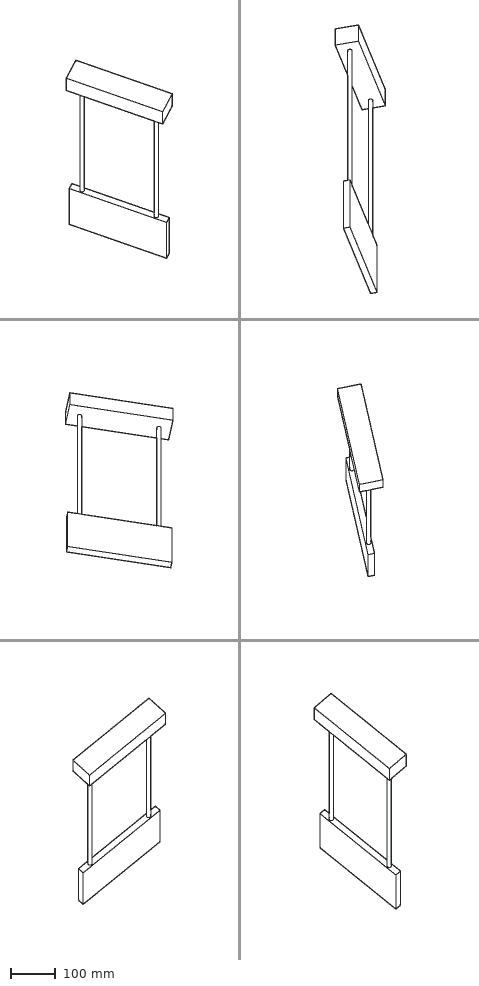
import cadquery as cq

total_height = 583.5

block_width = 234.5
block_depth = 54.0
block_height = 47.0

panel_width = 237.0
panel_thickness = 15.0
panel_height = 137.0

rod_diameter = 10.0
rod_spacing = 180.5

block_bottom = total_height - block_height
rod_length = block_bottom - panel_height


def upright_box(width, depth, height, bottom):
    """Box centred on the Z axis, standing on the given level."""
    return (
        cq.Workplane("XY", origin=(0, 0, bottom))
        .box(width, depth, height, centered=(True, True, False))
    )


panel = upright_box(panel_width, panel_thickness, panel_height, 0)
block = upright_box(block_width, block_depth, block_height, block_bottom)

rods = (
    cq.Workplane("XY", origin=(0, 0, panel_height))
    .rarray(rod_spacing, 6, 2, 1)
    .circle(rod_diameter / 2)
    .extrude(rod_length)
)

result = panel.union(rods).union(block)